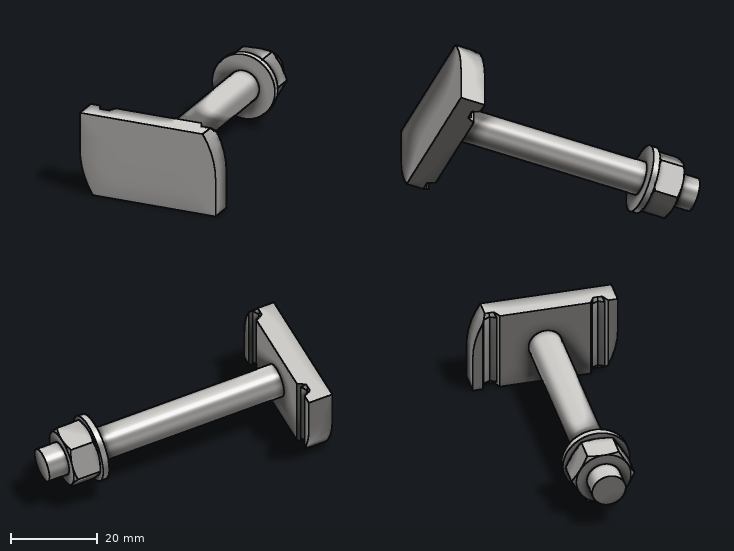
import cadquery as cq
import math

total_length = 66.0
shank_diameter = 8.0

head_length = 34.5
head_height = 20.0
head_thickness = 6.0
corner_start_z = 1.0
corner_inset = 3.3

groove_offset = 12.9
groove_rim_half = 2.05
end_floor_half = 1.05
end_depth = 1.85
knee_half = 1.5
knee_depth = 0.8
middle_depth = 1.6
flare_length = 1.0

washer_diameter = 16.0
washer_thickness = 1.6
nut_across_flats = 13.0
nut_height = 6.8
bolt_protrusion = 5.0
nut_chamfer_angle = math.radians(30)

nut_start = total_length - bolt_protrusion - nut_height
washer_start = nut_start - washer_thickness


def cylinder(diameter, start, length):
    """Cylinder about the Y axis, from start towards +Y."""
    return cq.Workplane("XZ", origin=(0, start, 0)).circle(diameter / 2).extrude(-length)


def make_head_blank():
    """Rectangular plate with two opposite corners rounded by tangent arcs."""
    half_length = head_length / 2
    half_height = head_height / 2
    return (
        cq.Workplane("XZ")
        .moveTo(-half_length, half_height)
        .lineTo(-half_length, corner_start_z)
        .tangentArcPoint((-half_length + corner_inset, -half_height), relative=False)
        .lineTo(half_length, -half_height)
        .lineTo(half_length, -corner_start_z)
        .tangentArcPoint((half_length - corner_inset, half_height), relative=False)
        .close()
        .extrude(-head_thickness)
    )


def groove_section(x, z, shoulder_half, shoulder_depth, center_depth):
    """Closed groove section at height z: rims, shoulders and the center of the floor."""
    points = [
        (x - groove_rim_half, 0),
        (x - shoulder_half, -shoulder_depth),
        (x, -center_depth),
        (x + shoulder_half, -shoulder_depth),
        (x + groove_rim_half, 0),
    ]
    corners = [cq.Vector(px, head_thickness + py, z) for px, py in points]
    return cq.Wire.makePolygon(corners, close=True)


def make_groove(x):
    """Groove with a V floor, flaring to a flat floor at both ends."""
    end_z = head_height / 2
    flare_z = end_z - flare_length
    sections = [
        groove_section(x, -end_z, end_floor_half, end_depth, end_depth),
        groove_section(x, -flare_z, knee_half, knee_depth, middle_depth),
        groove_section(x, flare_z, knee_half, knee_depth, middle_depth),
        groove_section(x, end_z, end_floor_half, end_depth, end_depth),
    ]
    return cq.Solid.makeLoft(sections, True)


def make_bolt():
    head = make_head_blank()
    for side in (-1, 1):
        head = head.cut(cq.Workplane(make_groove(side * groove_offset)))
    shank = cylinder(shank_diameter, head_thickness, total_length - head_thickness)
    return head.union(shank)


def make_washer():
    bore = cylinder(shank_diameter, washer_start, washer_thickness)
    return cylinder(washer_diameter, washer_start, washer_thickness).cut(bore)


def make_nut():
    """Hexagon nut with flats facing +Z and -Z and conical chamfers at both ends."""
    flat_radius = nut_across_flats / 2
    corner_radius = flat_radius / math.cos(math.pi / 6)
    chamfer_drop = (corner_radius - flat_radius) * math.tan(nut_chamfer_angle)
    nut_end = nut_start + nut_height
    hexagon = (
        cq.Workplane("XZ", origin=(0, nut_start, 0))
        .polygon(6, 2 * corner_radius)
        .extrude(-nut_height)
    )
    chamfer_envelope = (
        cq.Workplane("XY")
        .polyline([
            (0, nut_start),
            (flat_radius, nut_start),
            (corner_radius, nut_start + chamfer_drop),
            (corner_radius, nut_end - chamfer_drop),
            (flat_radius, nut_end),
            (0, nut_end),
        ])
        .close()
        .revolve(360, (0, 0, 0), (0, 1, 0))
    )
    bore = cylinder(shank_diameter, nut_start, nut_height)
    return hexagon.intersect(chamfer_envelope).cut(bore)


bolt = make_bolt()
washer = make_washer()
nut = make_nut()

result = cq.Compound.makeCompound([bolt.solids().val(), washer.solids().val(), nut.solids().val()])